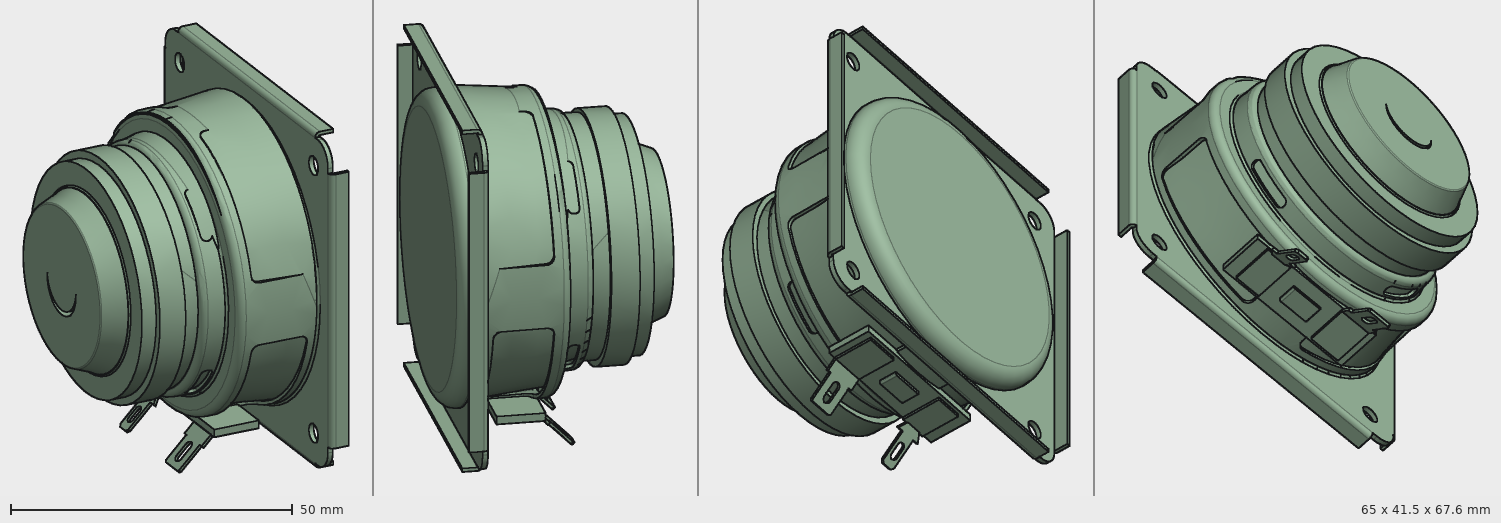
import cadquery as cq
import math


sheet = 0.7
flange_size = 65.0
lip_length = 53.0
bend_radius = 1.0
flange_back = 4.55
flange_front = flange_back - sheet
lip_front = 0.9
pad_thickness = 0.3
corner_radius = 4.0
hole_pitch = 51.75
hole_diameter = 3.5
plate_size = flange_size - 2 * bend_radius

rim_radius = 28.6
rim_fillet = 3.1

root_fillet = 0.45
cup1_radius_front = 28.07
cup1_radius_back = 27.83
cup1_back = 20.5
cup1_round = 1.5
cup2_radius_front = 23.5
cup2_radius_back = 23.2
cup2_back = 25.5
cup2_round = 1.3

window_front = 6.4
window_back = 17.5
window_round = 1.5
post_width = 12.0
slot_front = 21.4
slot_back = 23.6
slot_width = 10.2
slot_round = 1.0

cone_offset = 0.87
cone1_radius_front = 28.1
cone1_radius_back = 26.55
cone1_front = flange_back + root_fillet
cone1_back = 20.3
cone2_radius_front = 23.25
cone2_radius_back = 22.2
cone2_back = 24.5
cone3_radius_front = 21.65
cone3_radius_back = 21.5

neck_radius = 21.83
neck_back = 28.6
disk_radius = 23.05
disk_back = 33.75
back_plate_radius = 21.6
back_plate_back = 36.6
cap_radius_base = 17.0
cap_radius_end = 15.0
cap_round = 0.3
total_depth = 41.5
bore_radius = 5.55

board_left = -14.9
board_right = 14.15
board_top = -26.97
board_bottom = -28.5
board_front = 9.4
board_back = 18.3
peg_left = -3.5
peg_right = 3.1
peg_front = 12.0
peg_back = 15.65
peg_head = 0.7
peg_top = -25.5

tab_sheet = 0.6
tab_front = 10.05
tab_bend = 18.2
tab_lowest = -35.13
tab_angle = math.radians(45)
tab_length = (board_bottom - tab_lowest - tab_sheet * math.cos(tab_angle)) / math.sin(tab_angle)

narrow_center = -9.5
narrow_width = 3.0
narrow_head_width = 5.5
narrow_head_length = 2.05
narrow_slot = (1.5, 3.7, 7.2)
narrow_chamfer = 0.5
wide_center = 9.4
wide_width = 5.15
wide_head_width = 6.6
wide_head_length = 2.7
wide_slot = (1.75, 3.2, 7.5)
wide_chamfer = 0.3


def at_depth(depth):
    """Workplane at a depth, with local x = X, local y = Z and extrusion toward the magnet."""
    return cq.Workplane("XZ", origin=(0, -depth, 0))


def cylinder(radius, front, back):
    return at_depth(front).circle(radius).extrude(back - front)


def frustum(radius_front, radius_back, front, back, offset=0.0):
    """Round tapered body between two depths, its axis raised by offset."""
    profile = [(0, -front), (radius_front, -front), (radius_back, -back), (0, -back)]
    body = cq.Workplane("XY").polyline(profile).close().revolve(360, (0, 0, 0), (0, 1, 0))
    return body.translate((0, 0, offset))


def box(x_range, depth_range, z_range):
    size = [x_range[1] - x_range[0], depth_range[1] - depth_range[0], z_range[1] - z_range[0]]
    corner = (x_range[0], -depth_range[1], z_range[0])
    return cq.Workplane("XY").box(*size, centered=False).translate(corner)


def four_around(body):
    """The body repeated at every quarter turn about the Y axis."""
    group = body
    for quarter in range(1, 4):
        group = group.union(body.rotate((0, 0, 0), (0, 1, 0), 90 * quarter))
    return group


def make_lip():
    """Top edge of the flange folded forward."""
    edge = flange_size / 2
    inner = edge - bend_radius
    diagonal = math.sqrt(0.5)
    inner_radius = bend_radius - sheet
    bend_depth = flange_back - bend_radius
    outer_middle = (-bend_depth - bend_radius * diagonal, inner + bend_radius * diagonal)
    inner_middle = (-bend_depth - inner_radius * diagonal, inner + inner_radius * diagonal)
    return (
        cq.Workplane("YZ", origin=(-lip_length / 2, 0, 0))
        .moveTo(-flange_back, inner)
        .threePointArc(outer_middle, (-bend_depth, edge))
        .lineTo(-lip_front, edge)
        .lineTo(-lip_front, edge - sheet)
        .lineTo(-bend_depth, edge - sheet)
        .threePointArc(inner_middle, (-flange_front, inner))
        .close()
        .extrude(lip_length)
    )


def make_flange():
    """Square plate with a thin pad on its front, with four lips and four corner holes."""
    pad_front = flange_front - pad_thickness
    plate_thickness = flange_back - pad_front
    plate = at_depth(pad_front).rect(plate_size, plate_size).extrude(plate_thickness)
    plate = plate.edges("|Y").fillet(corner_radius)
    plate = plate.union(four_around(make_lip()))
    holes = (
        at_depth(pad_front)
        .rect(hole_pitch, hole_pitch, forConstruction=True)
        .vertices()
        .circle(hole_diameter / 2)
        .extrude(plate_thickness)
    )
    return plate.cut(holes)


def make_rim():
    return cylinder(rim_radius, 0, flange_back).faces(">Y").edges().fillet(rim_fillet)


def make_cup(radius_front, radius_back, front, back, back_round):
    """Hollow tapered cup with a flared front edge and a rounded back edge."""
    flare = frustum(radius_front + root_fillet, radius_front + root_fillet, front, front + root_fillet)
    flare_cut = (
        cq.Workplane("XY")
        .center(radius_front + root_fillet, -front - root_fillet)
        .circle(root_fillet)
        .revolve(360, (-radius_front - root_fillet, 0, 0), (-radius_front - root_fillet, 1, 0))
    )
    outer = frustum(radius_front, radius_back, front, back).faces("<Y").edges().fillet(back_round)
    inner = frustum(radius_front - sheet, radius_back - sheet, front, back - sheet)
    inner = inner.faces("<Y").edges().fillet(back_round - sheet)
    return outer.union(flare.cut(flare_cut)).cut(inner)


def make_windows():
    """Four large openings that leave posts on the X and Z axes."""
    span = (post_width / 2, post_width / 2 + rim_radius)
    window = box(span, (window_front, window_back), span).edges().fillet(window_round)
    return four_around(window)


def make_slots():
    """Four small openings in the rear cup, halfway between the posts."""
    side = (-slot_width / 2, slot_width / 2)
    reach = (cup2_radius_back / 2, rim_radius)
    slot = box(side, (slot_front, slot_back), reach).edges("|Z").fillet(slot_round)
    return four_around(slot.rotate((0, 0, 0), (0, 1, 0), 45))


def make_basket():
    cup1 = make_cup(cup1_radius_front, cup1_radius_back, flange_back, cup1_back, cup1_round)
    cup2 = make_cup(cup2_radius_front, cup2_radius_back, cup1_back, cup2_back, cup2_round)
    return cup1.cut(make_windows()).union(cup2.cut(make_slots()))


def make_cone_body():
    front = frustum(cone1_radius_front, cone1_radius_back, cone1_front, cone1_back, cone_offset)
    middle = frustum(cone2_radius_front, cone2_radius_back, cone1_back, cone2_back, cone_offset)
    rear = frustum(cone3_radius_front, cone3_radius_back, cone2_back, neck_back, cone_offset)
    return front.union(middle).union(rear)


def make_magnet():
    neck = cylinder(neck_radius, cup2_back - sheet, neck_back)
    disk = cylinder(disk_radius, neck_back, disk_back)
    back_plate = cylinder(back_plate_radius, disk_back, back_plate_back)
    cap = frustum(cap_radius_base, cap_radius_end, back_plate_back, total_depth)
    cap = cap.faces("<Y").edges().fillet(cap_round)
    foot_back = back_plate_back + cap_round
    cap_foot = frustum(cap_radius_base + cap_round, cap_radius_base, back_plate_back, foot_back)
    bore = cylinder(bore_radius, back_plate_back, total_depth)
    crescent = bore.cut(bore.translate((0, 0, cone_offset)))
    return neck.union(disk).union(back_plate).union(cap).union(cap_foot).cut(crescent)


def make_board():
    board = box((board_left, board_right), (board_front, board_back), (board_bottom, board_top))
    peg = box((peg_left, peg_right), (peg_front, peg_back), (board_bottom - peg_head, peg_top))
    return board.union(peg.faces("<Z").edges("|Y").fillet(peg_head / 2))


def make_tab(center, width, head_width, head_outline, slot, chamfer):
    """Flat strip under the board and a slotted tab bent down behind it.

    The head outline lists (half width, distance along the tab) from the bend to the tab's edge.
    """
    half_head = head_width / 2
    strip = box(
        (center - half_head, center + half_head),
        (tab_front, tab_bend),
        (board_bottom - tab_sheet, board_bottom),
    )
    tilted = cq.Plane(
        origin=(center, -tab_bend, board_bottom),
        xDir=(1, 0, 0),
        normal=(0, -math.sin(tab_angle), math.cos(tab_angle)),
    )
    half = width / 2
    right_side = head_outline + [(half, tab_length - chamfer), (half - chamfer, tab_length)]
    outline = [(x, -along) for x, along in right_side]
    outline += [(-x, -along) for x, along in reversed(right_side)]
    blade = cq.Workplane(tilted).polyline(outline).close().extrude(-tab_sheet)
    slot_size, slot_start, slot_end = slot
    hole = (
        cq.Workplane(tilted)
        .center(0, -(slot_start + slot_end) / 2)
        .slot2D(slot_end - slot_start, slot_size, 90)
        .extrude(-tab_sheet)
    )
    return strip.union(blade.cut(hole))


def make_narrow_tab():
    """Tab whose head widens into two pointed barbs."""
    half = narrow_width / 2
    head = [
        (half, 0),
        (narrow_head_width / 2, narrow_head_length),
        (half, narrow_head_length),
    ]
    return make_tab(narrow_center, narrow_width, narrow_head_width, head, narrow_slot, narrow_chamfer)


def make_wide_tab():
    """Tab with a square-shouldered head."""
    half_head = wide_head_width / 2
    head = [
        (half_head, 0),
        (half_head, wide_head_length),
        (wide_width / 2, wide_head_length),
    ]
    return make_tab(wide_center, wide_width, wide_head_width, head, wide_slot, wide_chamfer)


result = (
    make_flange()
    .union(make_rim())
    .union(make_basket())
    .union(make_cone_body())
    .union(make_magnet())
    .union(make_board())
    .union(make_narrow_tab())
    .union(make_wide_tab())
)